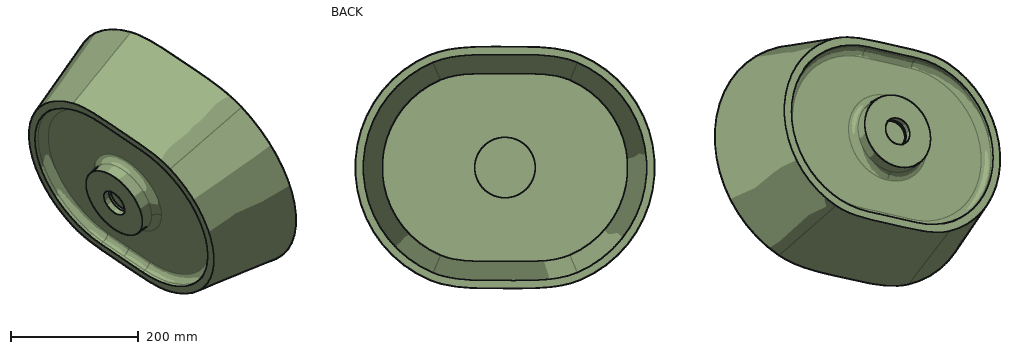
import cadquery as cq
import math


TOTAL_DEPTH = 166.0
BASE_DEPTH = 149.7
ARC_CENTRE = 43.0
ARC_SPAN = 67.0
RIM_RADIUS = 191.5
RIM_HALF_HEIGHT = 189.5
TAPER = 37.5
WALL = 12.5

RECESS_CENTRE = 44.5
RECESS_RADIUS = 139.5
RECESS_EDGE_DEPTH = 18.0
RECESS_BOSS_DEPTH = 14.0
RECESS_FILLET = 11.5
FLOOR_MARGIN = 2.5

BOSS_RADIUS = 60.0
DRAFT_ANGLE = 2.0
HOLE_RADIUS = 22.0
SEAT_THICKNESS = 11.5
PLUG_RADIUS = BOSS_RADIUS - WALL
PLUG_HOLE_DEPTH = 4.0

base_y = -BASE_DEPTH
boss_y = -TOTAL_DEPTH
seat_y = boss_y + SEAT_THICKNESS
recess_edge_y = base_y + RECESS_EDGE_DEPTH
recess_boss_y = base_y + RECESS_BOSS_DEPTH
bowl_floor_y = recess_edge_y + WALL


def oval_wire(y, inset):
    """Oval at level y: circular ends joined by gently crowned long sides."""
    radius = RIM_RADIUS - inset
    half_height = RIM_HALF_HEIGHT - inset
    span = math.radians(ARC_SPAN)
    end_x = ARC_CENTRE + radius * math.cos(span)
    end_z = radius * math.sin(span)
    tip_x = ARC_CENTRE + radius
    slope_x = math.sin(span)
    slope_z = math.cos(span)

    def point(x, z):
        return cq.Vector(x, y, z)

    edges = [
        cq.Edge.makeThreePointArc(point(end_x, -end_z), point(tip_x, 0), point(end_x, end_z)),
        cq.Edge.makeSpline(
            [point(end_x, end_z), point(0, half_height), point(-end_x, end_z)],
            tangents=[cq.Vector(-slope_x, 0, slope_z), cq.Vector(-slope_x, 0, -slope_z)],
        ),
        cq.Edge.makeThreePointArc(point(-end_x, end_z), point(-tip_x, 0), point(-end_x, -end_z)),
        cq.Edge.makeSpline(
            [point(-end_x, -end_z), point(0, -half_height), point(end_x, -end_z)],
            tangents=[cq.Vector(slope_x, 0, -slope_z), cq.Vector(slope_x, 0, slope_z)],
        ),
    ]
    return cq.Wire.assembleEdges(edges)


def tapered_oval(bottom_y, inset):
    """Solid from the rim down to bottom_y, inset from the outer shell."""
    bottom_inset = inset + TAPER * bottom_y / base_y
    wires = [oval_wire(0, inset), oval_wire(bottom_y, bottom_inset)]
    return cq.Workplane(cq.Solid.makeLoft(wires, True))


def cylinder(radius, bottom_y, top_y):
    """Cylinder about the Y axis between two levels."""
    return cq.Workplane("XZ", origin=(0, top_y, 0)).circle(radius).extrude(top_y - bottom_y)


def boss_blank():
    """Drafted boss that widens from the outlet face up to the bowl floor."""
    outlet_face = cq.Workplane("XZ", origin=(0, boss_y, 0)).circle(BOSS_RADIUS)
    return outlet_face.extrude(boss_y - bowl_floor_y, taper=-DRAFT_ANGLE)


def recess_floor_cone():
    """Shallow cone that lifts the recess floor from its far ends towards the boss."""
    return cq.Workplane(
        cq.Solid.makeCone(
            RECESS_CENTRE + RECESS_RADIUS,
            BOSS_RADIUS,
            RECESS_EDGE_DEPTH - RECESS_BOSS_DEPTH,
            pnt=cq.Vector(0, recess_edge_y, 0),
            dir=cq.Vector(0, -1, 0),
        )
    )


def underside_recess():
    """Annular pocket with rounded floor edges, leaving the boss in its middle."""
    length = 2 * (RECESS_CENTRE + RECESS_RADIUS)
    pocket = (
        cq.Workplane("XZ", origin=(0, base_y, 0))
        .slot2D(length, 2 * RECESS_RADIUS)
        .extrude(-RECESS_EDGE_DEPTH, taper=DRAFT_ANGLE)
        .cut(recess_floor_cone())
        .cut(boss_blank())
    )
    reach = RIM_RADIUS + ARC_CENTRE
    floor_zone = cq.selectors.BoxSelector(
        (-reach, recess_boss_y - FLOOR_MARGIN, -reach),
        (reach, bowl_floor_y, reach),
    )
    return pocket.edges(floor_zone).fillet(RECESS_FILLET)


def make_basin():
    return (
        tapered_oval(base_y, 0)
        .cut(underside_recess())
        .union(boss_blank())
        .cut(tapered_oval(bowl_floor_y, WALL))
        .cut(cylinder(PLUG_RADIUS, seat_y, bowl_floor_y))
        .cut(cylinder(HOLE_RADIUS, boss_y, seat_y))
    )


def make_plug():
    """Drain plug resting on the seat, with a blind hole facing the outlet."""
    blind_hole = cylinder(HOLE_RADIUS, seat_y, seat_y + PLUG_HOLE_DEPTH)
    return cylinder(PLUG_RADIUS, seat_y, bowl_floor_y).cut(blind_hole)


basin = make_basin()
plug = make_plug()
result = cq.Compound.makeCompound([basin.solids().val(), plug.val()])